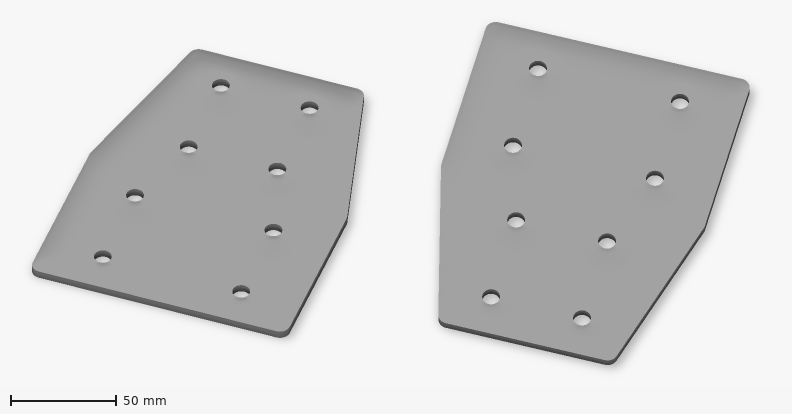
import cadquery as cq

length = 170.0
base_width = 130.0
top_width = 86.0
shoulder_height = 85.0
thickness = 4.0
corner_radius = 5.0

hole_diameter = 8.5
row_pitch = 44.9
end_margin = 20.0
base_hole_spacing = 70.0
top_hole_spacing = 44.9


def plate():
    """Tapered plate with its bottom edge on Y = 0 and all corners rounded."""
    outline = [
        (-base_width / 2, 0),
        (base_width / 2, 0),
        (base_width / 2, shoulder_height),
        (top_width / 2, length),
        (-top_width / 2, length),
        (-base_width / 2, shoulder_height),
    ]
    blank = cq.Workplane("XY").polyline(outline).close().extrude(thickness)
    return blank.edges("|Z").fillet(corner_radius)


def hole_group(spacing, first_row):
    """Cutters for two rows of two through holes, starting at Y = first_row."""
    centers = [
        (side * spacing / 2, row)
        for side in (-1, 1)
        for row in (first_row, first_row + row_pitch)
    ]
    return cq.Workplane("XY").pushPoints(centers).circle(hole_diameter / 2).extrude(thickness)


base_holes = hole_group(base_hole_spacing, end_margin)
top_holes = hole_group(top_hole_spacing, length - end_margin - row_pitch)
result = plate().cut(base_holes).cut(top_holes)